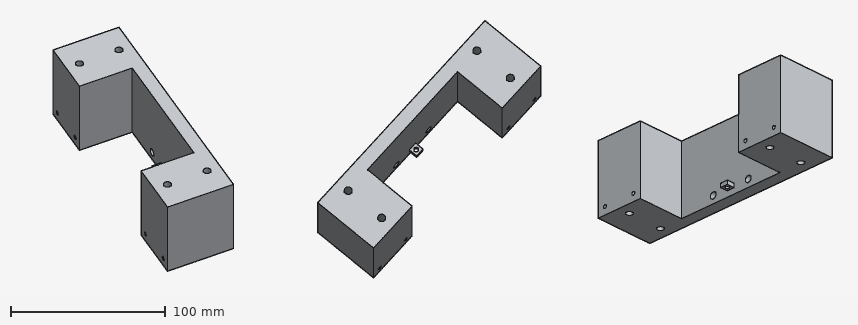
import cadquery as cq

length = 165.1
depth = 47.7
height = 57.1
leg_width = 38.1
leg_reach = 38.1

leg_hole_diameter = 5.1
leg_hole_inset = 9.5

cross_hole_height = 6.3
wall_hole_diameter = 5.1
wall_hole_spacing = 31.7
pilot_diameter = 2.6
pilot_inset = 6.3

tab_size = 6.3
tab_thickness = 3.1
tab_hole_diameter = 3.1

leg_center_x = (length - leg_width) / 2
wall_front_y = leg_reach


def make_bracket():
    """U-shaped block with its vertical and horizontal holes."""
    body = cq.Workplane("XY").box(length, depth, height, centered=(True, False, False))
    gap = cq.Workplane("XY").box(
        length - 2 * leg_width, leg_reach, height, centered=(True, False, False)
    )
    body = body.cut(gap)

    leg_hole_points = [
        (side * leg_center_x, y)
        for side in (-1, 1)
        for y in (leg_hole_inset, depth - leg_hole_inset)
    ]
    leg_holes = (
        cq.Workplane("XY").pushPoints(leg_hole_points).circle(leg_hole_diameter / 2).extrude(height)
    )

    wall_hole_points = [(side * wall_hole_spacing / 2, cross_hole_height) for side in (-1, 1)]
    wall_holes = (
        cq.Workplane("XZ")
        .pushPoints(wall_hole_points)
        .circle(wall_hole_diameter / 2)
        .extrude(-depth)
    )

    pilot_offset = leg_width / 2 - pilot_inset
    pilot_points = [
        (side * leg_center_x + shift, cross_hole_height)
        for side in (-1, 1)
        for shift in (-pilot_offset, pilot_offset)
    ]
    pilots = (
        cq.Workplane("XZ").pushPoints(pilot_points).circle(pilot_diameter / 2).extrude(-depth)
    )
    return body.cut(leg_holes).cut(wall_holes).cut(pilots)


def make_tab():
    """Square tab with a vertical eye, resting against the back wall."""
    return (
        cq.Workplane("XY")
        .workplane(offset=cross_hole_height - tab_thickness / 2)
        .center(0, wall_front_y - tab_size / 2)
        .rect(tab_size, tab_size)
        .circle(tab_hole_diameter / 2)
        .extrude(tab_thickness)
    )


bracket = make_bracket()
tab = make_tab()

result = cq.Compound.makeCompound([bracket.val(), tab.val()])